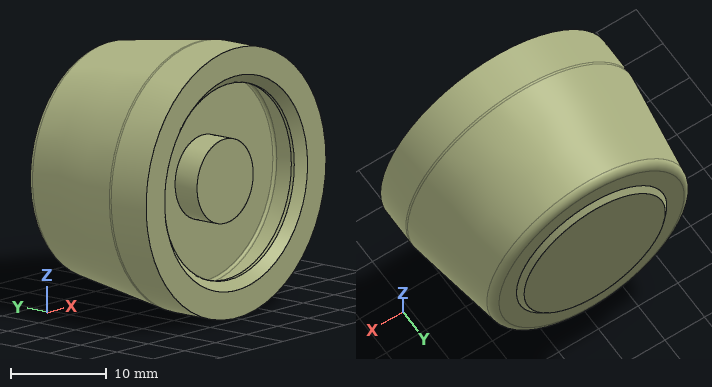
import cadquery as cq

body_radius = 14.5
rim_height = 4.93
shoulder_radius = 12.53
shoulder_height = 18.0
shoulder_fillet = 1.0
rim_blend_radius = 1.75

total_height = 18.6
disc_radius = 9.48
disc_chamfer = total_height - shoulder_height

mouth_radius = 11.5
lip_radius = 10.53
lip_depth = mouth_radius - lip_radius
lip_width = 0.4
recess_depth = 4.52
undercut_radius = 11.5
floor_fillet = 0.3

boss_radius = 4.52
boss_setback = 1.5


def revolve_about_y(profile_points):
    """Revolve a closed (radius, y) outline about the Y axis."""
    profile = cq.Workplane("XY").polyline(profile_points).close()
    return profile.revolve(360, (0, 0, 0), (0, 1, 0))


def cylinder_along_y(radius, start, end):
    return cq.Workplane("XZ", origin=(0, start, 0)).circle(radius).extrude(start - end)


def make_body():
    body = revolve_about_y([
        (0, 0),
        (body_radius, 0),
        (body_radius, rim_height),
        (shoulder_radius, shoulder_height),
        (0, shoulder_height),
    ])
    body = body.faces(">Y").edges().fillet(shoulder_fillet)
    rim_edge = cq.selectors.NearestToPointSelector((0, rim_height, 0))
    return body.edges("%CIRCLE").edges(rim_edge).fillet(rim_blend_radius)


def make_disc():
    return revolve_about_y([
        (0, shoulder_height),
        (disc_radius, shoulder_height),
        (disc_radius - disc_chamfer, total_height),
        (0, total_height),
    ])


def make_recess():
    lip_end = lip_depth + lip_width
    recess = revolve_about_y([
        (0, 0),
        (mouth_radius, 0),
        (lip_radius, lip_depth),
        (lip_radius, lip_end),
        (undercut_radius, lip_end),
        (undercut_radius, recess_depth),
        (0, recess_depth),
    ])
    return recess.faces(">Y").edges().fillet(floor_fillet)


boss = cylinder_along_y(boss_radius, boss_setback, recess_depth)
result = make_body().union(make_disc()).cut(make_recess()).union(boss)